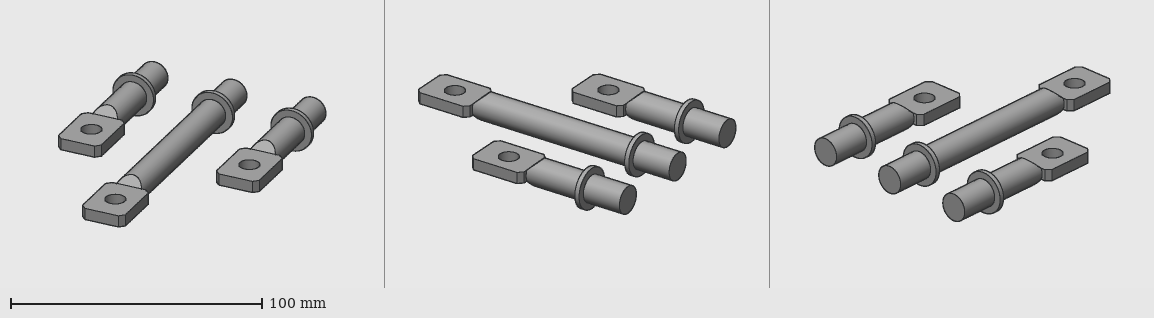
import cadquery as cq

LONG_LENGTH = 120.0
SHORT_LENGTH = 70.0
SPACING = 34.9

ROD_DIAMETER = 12.0
COLLAR_DIAMETER = 18.0
COLLAR_THICKNESS = 2.0
COLLAR_SETBACK = 17.4

PLATE_WIDTH = 19.0
PLATE_LENGTH = 25.0
PLATE_THICKNESS = 5.0
CORNER_CHAMFER = 2.0
HOLE_DIAMETER = 8.4

ROD_RADIUS = ROD_DIAMETER / 2
BEVEL = (ROD_DIAMETER - PLATE_THICKNESS) / 2


def cylinder_along_y(diameter, start, length):
    """Cylinder on the Y axis, running from start towards -Y."""
    return cq.Workplane("XZ", origin=(0, start, 0)).circle(diameter / 2).extrude(length)


def bevelled_rod(length):
    """Rod from Y = 0 to Y = -length, flattened above and below at its far end."""
    rod = cylinder_along_y(ROD_DIAMETER, 0, length)
    side_outline = (
        cq.Workplane("YZ")
        .moveTo(0, ROD_RADIUS)
        .lineTo(BEVEL - length, ROD_RADIUS)
        .lineTo(-length, PLATE_THICKNESS / 2)
        .lineTo(-length, -PLATE_THICKNESS / 2)
        .lineTo(BEVEL - length, -ROD_RADIUS)
        .lineTo(0, -ROD_RADIUS)
        .close()
        .extrude(ROD_RADIUS, both=True)
    )
    return rod.intersect(side_outline)


def terminal_plate(center_y):
    """Flat plate with chamfered corners and a central bolt hole."""
    return (
        cq.Workplane("XY", origin=(0, center_y, 0))
        .box(PLATE_WIDTH, PLATE_LENGTH, PLATE_THICKNESS)
        .edges("|Z")
        .chamfer(CORNER_CHAMFER)
        .faces(">Z")
        .workplane()
        .hole(HOLE_DIAMETER)
    )


def terminal(length):
    """Complete terminal, with its free rod end at Y = 0."""
    rod_length = length - PLATE_LENGTH
    collar = cylinder_along_y(COLLAR_DIAMETER, -COLLAR_SETBACK, COLLAR_THICKNESS)
    plate = terminal_plate(-rod_length - PLATE_LENGTH / 2)
    return bevelled_rod(rod_length).union(collar).union(plate)


terminals = []
for column, length in enumerate([SHORT_LENGTH, LONG_LENGTH, SHORT_LENGTH]):
    x = (column - 1) * SPACING
    terminals.append(terminal(length).translate((x, 0, 0)).val())

result = cq.Compound.makeCompound(terminals)